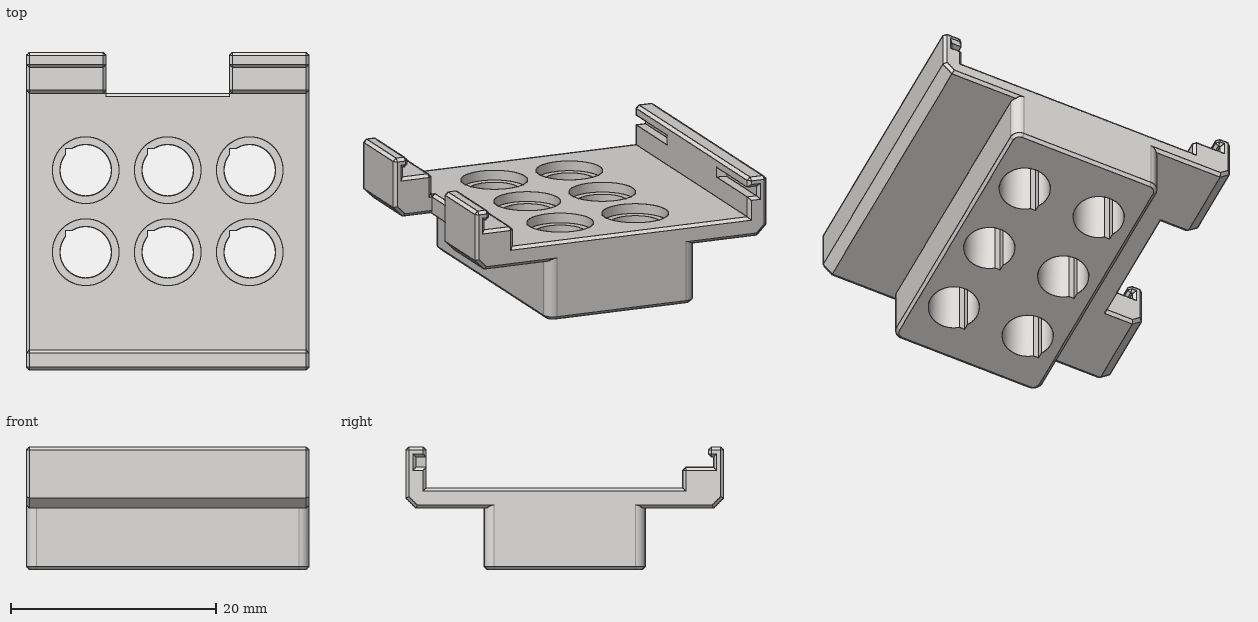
import cadquery as cq
import math

WIDTH = 27.6
LENGTH = 31.0
HEIGHT = 11.97

PLATE_BOTTOM = 5.98
PLATE_TOP = 7.97
BOTTOM_BEVEL = 1.0
EDGE_CHAMFER = 0.3
POST_THICKNESS = 1.0
LIP_HEIGHT = 1.0
GROOVE_HEIGHT = 1.0
FRONT_WALL_THICKNESS = 1.98
LIP_REACH = 1.5
HOOK_DEPTH = 4.0
HOOK_FOOT = 1.0
REAR_GAP_WIDTH = 12.0

STOP_WIDTH = REAR_GAP_WIDTH
STOP_DRAFT_ANGLE = 15.0

BLOCK_LENGTH = 15.75
BLOCK_CORNER_RADIUS = 1.0

HOLE_COLUMNS = 3
HOLE_ROWS = 2
HOLE_PITCH = 8.0
HOLE_DIAMETER = 5.0
COUNTERBORE_DIAMETER = 6.5
COUNTERBORE_DEPTH = 1.0
NOTCH_REACH_X = 1.95
NOTCH_REACH_Y = 2.1

FRONT = -LENGTH / 2
REAR = LENGTH / 2
HOOK_FRONT = REAR - HOOK_DEPTH
LEDGE = HEIGHT - LIP_HEIGHT - GROOVE_HEIGHT
LIP_BOTTOM = HEIGHT - LIP_HEIGHT
WALL_INNER = FRONT + FRONT_WALL_THICKNESS
GROOVE_FLOOR = FRONT + POST_THICKNESS


def beveled_prism(profile, width, long_edges):
    """Extrude a (Y, Z) profile along X; bevel both end outlines and the edges through long_edges."""
    prism = cq.Workplane("YZ").polyline(profile).close().extrude(width / 2, both=True)
    edges = prism.faces("<X or >X").edges()
    for y, z in long_edges:
        edges = edges.add(prism.edges(cq.selectors.NearestToPointSelector((0, y, z))))
    return edges.chamfer(EDGE_CHAMFER)


def plate_with_front_wall():
    profile = [
        (FRONT + BOTTOM_BEVEL, PLATE_BOTTOM),
        (HOOK_FRONT, PLATE_BOTTOM),
        (HOOK_FRONT, PLATE_TOP),
        (WALL_INNER, PLATE_TOP),
        (WALL_INNER, LEDGE),
        (GROOVE_FLOOR, LEDGE),
        (GROOVE_FLOOR, LIP_BOTTOM),
        (WALL_INNER, LIP_BOTTOM),
        (WALL_INNER, HEIGHT),
        (FRONT, HEIGHT),
        (FRONT, PLATE_BOTTOM + BOTTOM_BEVEL),
    ]
    return beveled_prism(profile, WIDTH, [(FRONT, HEIGHT), (WALL_INNER, HEIGHT)])


def gap_bevel():
    """Cutter for the bevel on the plate's rear top edge, between the hooks."""
    profile = [
        (HOOK_FRONT, PLATE_TOP),
        (HOOK_FRONT - EDGE_CHAMFER, PLATE_TOP),
        (HOOK_FRONT, PLATE_TOP - EDGE_CHAMFER),
    ]
    return cq.Workplane("YZ").polyline(profile).close().extrude(REAR_GAP_WIDTH / 2, both=True)


def rear_hook():
    """Hook centred on X; its foot reaches into the plate so that the two join solidly."""
    lip_tip = REAR - LIP_REACH
    post_inner = REAR - POST_THICKNESS
    profile = [
        (HOOK_FRONT - HOOK_FOOT, PLATE_BOTTOM),
        (REAR - BOTTOM_BEVEL, PLATE_BOTTOM),
        (REAR, PLATE_BOTTOM + BOTTOM_BEVEL),
        (REAR, HEIGHT),
        (lip_tip, HEIGHT),
        (lip_tip, LIP_BOTTOM),
        (post_inner, LIP_BOTTOM),
        (post_inner, LEDGE),
        (HOOK_FRONT, LEDGE),
        (HOOK_FRONT, PLATE_TOP),
        (HOOK_FRONT - HOOK_FOOT, PLATE_TOP),
    ]
    long_edges = [(REAR, HEIGHT), (lip_tip, HEIGHT), (lip_tip, LIP_BOTTOM), (HOOK_FRONT, LEDGE)]
    return beveled_prism(profile, (WIDTH - REAR_GAP_WIDTH) / 2, long_edges)


def groove_stop():
    """Block filling the middle of the front groove, slightly wider at the groove floor."""
    half_width = STOP_WIDTH / 2
    draft = FRONT_WALL_THICKNESS - POST_THICKNESS
    half_root = half_width + draft * math.tan(math.radians(STOP_DRAFT_ANGLE))
    outline = [
        (-half_root, GROOVE_FLOOR),
        (half_root, GROOVE_FLOOR),
        (half_width, WALL_INNER),
        (-half_width, WALL_INNER),
    ]
    return cq.Workplane("XY").workplane(offset=LEDGE).polyline(outline).close().extrude(GROOVE_HEIGHT)


def lower_block():
    top = (PLATE_BOTTOM + PLATE_TOP) / 2
    block = cq.Workplane("XY").rect(WIDTH, BLOCK_LENGTH).extrude(top)
    return block.edges("|Z").fillet(BLOCK_CORNER_RADIUS).faces("<Z").edges().chamfer(EDGE_CHAMFER)


def stepped_holes():
    """Cutters for the grid of counterbored holes, each with a square notch toward -X +Y."""

    def grid(z):
        plane = cq.Workplane("XY").workplane(offset=z)
        return plane.rarray(HOLE_PITCH, HOLE_PITCH, HOLE_COLUMNS, HOLE_ROWS)

    bores = grid(0).circle(HOLE_DIAMETER / 2).extrude(PLATE_TOP)
    counterbores = grid(PLATE_TOP - COUNTERBORE_DEPTH).circle(COUNTERBORE_DIAMETER / 2)
    counterbores = counterbores.extrude(COUNTERBORE_DEPTH)
    notches = grid(0).rect(NOTCH_REACH_X, NOTCH_REACH_Y).extrude(PLATE_TOP)
    notches = notches.translate((-NOTCH_REACH_X / 2, NOTCH_REACH_Y / 2, 0))
    return bores.union(counterbores).union(notches)


hook_center = (WIDTH + REAR_GAP_WIDTH) / 4
result = plate_with_front_wall().union(lower_block())
for side in (-1, 1):
    result = result.union(rear_hook().translate((side * hook_center, 0, 0)))
result = result.union(groove_stop()).cut(gap_bevel()).cut(stepped_holes()).clean()